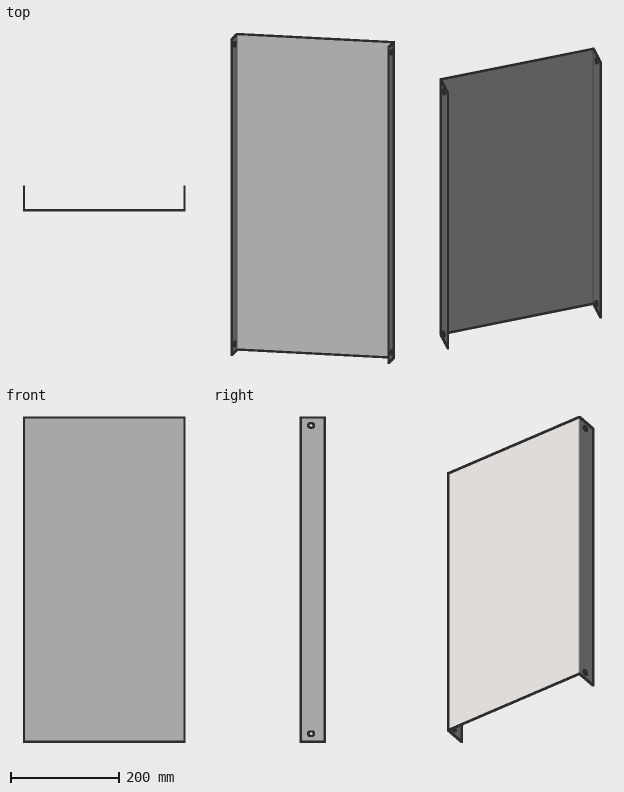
import cadquery as cq

width = 297.5
depth = 44.5
height = 600.0
sheet = 0.7
bend_radius = 1.0

slot_length = 10.0
slot_width = 8.0
slot_from_front = 19.0
slot_from_end = 15.0


def make_channel():
    """U-shaped sheet: front panel with two flanges folded back along +Y."""
    outer = (
        cq.Workplane("XY")
        .box(width, depth, height, centered=(True, False, True))
        .edges("|Z and <Y")
        .fillet(bend_radius)
    )
    inner = (
        cq.Workplane("XY")
        .box(width - 2 * sheet, depth, height, centered=(True, False, True))
        .edges("|Z and <Y")
        .fillet(bend_radius - sheet)
        .translate((0, sheet, 0))
    )
    return outer.cut(inner)


def make_slots():
    """Cutters that pass through both flanges at the top and bottom."""
    slot_z = height / 2 - slot_from_end
    return (
        cq.Workplane("YZ")
        .pushPoints([(slot_from_front, -slot_z), (slot_from_front, slot_z)])
        .slot2D(slot_length, slot_width)
        .extrude(width, both=True)
    )


result = make_channel().cut(make_slots())